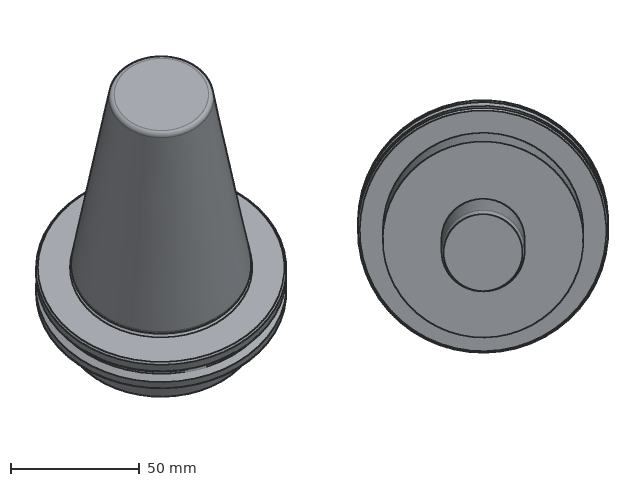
import cadquery as cq
import math

total_height = 160.6
flange_radius = 97.5 / 2
flange_bottom = 39.8
flange_height = 15.9
flange_chamfer = 0.8

groove_radius = 91.0 / 2
groove_floor_width = 2.9
groove_corner_fillet = 0.8
groove_flank_angle = 30.0

body_radius = 39.0
body_bottom = 24.0
pilot_radius = 16.2
pilot_lead_height = 3.4
pilot_lead_angle = 15.0

taper_ratio = 7 / 24
gauge_radius = 35.0
gauge_band_height = 1.5
undercut_height = 1.6
undercut_rim_radius = 35.5
undercut_waist_radius = 34.4
undercut_waist_height = 0.3
tip_fillet = 2.1

flange_top = flange_bottom + flange_height
groove_center = flange_bottom + flange_height / 2
groove_floor_half = groove_floor_width / 2
groove_depth = flange_radius - groove_radius
groove_mouth_half = groove_floor_half + groove_depth * math.tan(math.radians(groove_flank_angle))
pilot_end_radius = pilot_radius - pilot_lead_height * math.tan(math.radians(pilot_lead_angle))
band_bottom = flange_top + undercut_height
gauge_level = band_bottom + gauge_band_height
tip_radius = gauge_radius - (total_height - gauge_level) * taper_ratio / 2

pilot_and_body = [
    (0, 0),
    (pilot_end_radius, 0),
    (pilot_radius, pilot_lead_height),
    (pilot_radius, body_bottom),
    (body_radius, body_bottom),
    (body_radius, flange_bottom),
]
flange = [
    (flange_radius - flange_chamfer, flange_bottom),
    (flange_radius, flange_bottom + flange_chamfer),
    (flange_radius, groove_center - groove_mouth_half),
    (groove_radius, groove_center - groove_floor_half),
    (groove_radius, groove_center + groove_floor_half),
    (flange_radius, groove_center + groove_mouth_half),
    (flange_radius, flange_top - flange_chamfer),
    (flange_radius - flange_chamfer, flange_top),
    (undercut_rim_radius, flange_top),
]
undercut_waist = (undercut_waist_radius, flange_top + undercut_waist_height)
undercut_end = (gauge_radius, band_bottom)
taper = [
    (gauge_radius, gauge_level),
    (tip_radius, total_height),
    (0, total_height),
]

result = (
    cq.Workplane("XZ")
    .polyline(pilot_and_body + flange)
    .threePointArc(undercut_waist, undercut_end)
    .polyline(taper, includeCurrent=True)
    .close()
    .revolve(360, (0, 0, 0), (0, 1, 0))
)

corner_tolerance = 0.02
groove_corners = result.edges("%CIRCLE").filter(
    lambda edge: abs(edge.radius() - groove_radius) < corner_tolerance
)
result = groove_corners.fillet(groove_corner_fillet)

result = result.faces(">Z").edges().fillet(tip_fillet)